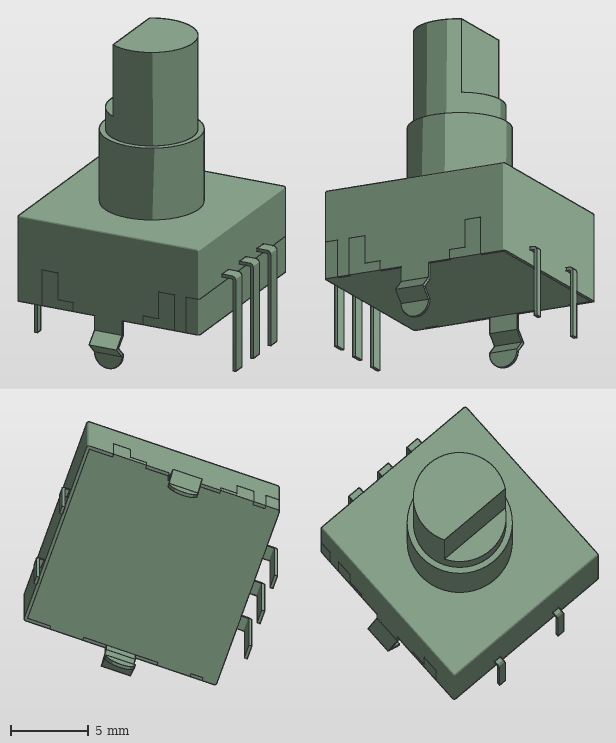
import cadquery as cq
import math

TOTAL_HEIGHT = 21.0
LEAD_DEPTH = 3.5

HOUSING_LENGTH = 13.2
HOUSING_WIDTH = 12.45
HOUSING_HEIGHT = 5.98
EDGE_RADIUS = 0.17
SHEET = 0.2

WINDOW_HEIGHT = 2.5
WINDOW_OUTER = 4.8
WINDOW_STEP = 3.65
WINDOW_INNER = 2.55
FOOT_HEIGHT = 0.63
END_WINDOW_LENGTH = 0.97

LUG_WIDTH = 2.0
LUG_REACH = 0.78
LUG_BEND_TOP = 1.0
LUG_BEND_BOTTOM = LEAD_DEPTH - LUG_WIDTH / 2

BUSHING_DIAMETER = 6.8
BUSHING_HEIGHT = 5.0
SHAFT_DIAMETER = 6.0
FLAT_OFFSET = 1.5
FLAT_HEIGHT = 5.0
SHAFT_TOP = TOTAL_HEIGHT - LEAD_DEPTH

SWITCH_PIN_WIDTH = 0.5
SWITCH_PIN_REACH = 0.5
SWITCH_PIN_TOP = 1.2
SIGNAL_PIN_WIDTH = 0.9
SIGNAL_PIN_REACH = 0.99
SIGNAL_PIN_TOP = 3.1
PIN_PITCH = 2.5
PIN_BEND_RADIUS = 0.3


def block(x_min, x_max, width, height):
    """A box standing on the housing's bottom plane, centred on Y = 0."""
    return (
        cq.Workplane("XY")
        .center((x_min + x_max) / 2, 0)
        .rect(x_max - x_min, width)
        .extrude(height)
    )


def housing_block():
    """The outer shape that cover and base fill together, with rounded top and upright edges."""
    half_length = HOUSING_LENGTH / 2
    outer = block(-half_length, half_length, HOUSING_WIDTH, HOUSING_HEIGHT)
    return outer.edges("|Z or >Z").fillet(EDGE_RADIUS)


def window_zone():
    """The places where the base comes through the cover to its outer surface."""
    half_length = HOUSING_LENGTH / 2
    zone = block(half_length - END_WINDOW_LENGTH, half_length, HOUSING_WIDTH, WINDOW_HEIGHT)
    for side in (-1, 1):
        l_window = (
            cq.Workplane("XZ", origin=(0, HOUSING_WIDTH / 2, 0))
            .moveTo(side * WINDOW_OUTER, 0)
            .lineTo(side * WINDOW_OUTER, WINDOW_HEIGHT)
            .lineTo(side * WINDOW_STEP, WINDOW_HEIGHT)
            .lineTo(side * WINDOW_STEP, FOOT_HEIGHT)
            .lineTo(side * WINDOW_INNER, FOOT_HEIGHT)
            .lineTo(side * WINDOW_INNER, 0)
            .close()
            .extrude(HOUSING_WIDTH)
        )
        zone = zone.union(l_window)
    return zone


def bent_pin(side, y, reach, top, width):
    """A pin that leaves the base toward side (-1 or +1) along X and bends straight down."""
    root_x = side * (HOUSING_LENGTH / 2 - SHEET)
    tip_x = side * (HOUSING_LENGTH / 2 + reach)
    inner_x = tip_x - side * SHEET
    inner_radius = PIN_BEND_RADIUS - SHEET
    bend_x = tip_x - side * PIN_BEND_RADIUS
    bend_z = top - PIN_BEND_RADIUS
    diagonal = math.sqrt(0.5)
    return (
        cq.Workplane("XZ", origin=(0, y + width / 2, 0))
        .moveTo(root_x, top)
        .lineTo(bend_x, top)
        .threePointArc(
            (bend_x + side * PIN_BEND_RADIUS * diagonal, bend_z + PIN_BEND_RADIUS * diagonal),
            (tip_x, bend_z),
        )
        .lineTo(tip_x, -LEAD_DEPTH)
        .lineTo(inner_x, -LEAD_DEPTH)
        .lineTo(inner_x, bend_z)
        .threePointArc(
            (bend_x + side * inner_radius * diagonal, bend_z + inner_radius * diagonal),
            (bend_x, top - SHEET),
        )
        .lineTo(root_x, top - SHEET)
        .close()
        .extrude(width)
    )


def make_base():
    """The base fills the cover, shows in its windows and carries all five pins."""
    inner_half = HOUSING_LENGTH / 2 - SHEET
    base = block(-inner_half, inner_half, HOUSING_WIDTH - 2 * SHEET, HOUSING_HEIGHT - SHEET)
    base = base.union(housing_block().intersect(window_zone()))
    for row in (-1, 1):
        base = base.union(
            bent_pin(-1, row * PIN_PITCH, SWITCH_PIN_REACH, SWITCH_PIN_TOP, SWITCH_PIN_WIDTH)
        )
    for row in (-1, 0, 1):
        base = base.union(
            bent_pin(1, row * PIN_PITCH, SIGNAL_PIN_REACH, SIGNAL_PIN_TOP, SIGNAL_PIN_WIDTH)
        )
    return base


def lug(side):
    """A sheet strip under the side wall (-1 or +1 along Y) with an outward V bend and round end."""
    middle = (LUG_BEND_TOP + LUG_BEND_BOTTOM) / 2
    slope = math.atan2(LUG_REACH, middle - LUG_BEND_TOP)
    bend_shift = SHEET * math.tan(slope / 2)
    wall = HOUSING_WIDTH / 2
    inner_wall = wall - SHEET
    profile = [
        (wall, 0),
        (wall, -LUG_BEND_TOP),
        (wall + LUG_REACH, -middle),
        (wall, -LUG_BEND_BOTTOM),
        (wall, -LEAD_DEPTH),
        (inner_wall, -LEAD_DEPTH),
        (inner_wall, -LUG_BEND_BOTTOM + bend_shift),
        (wall + LUG_REACH - SHEET / math.cos(slope), -middle),
        (inner_wall, -LUG_BEND_TOP - bend_shift),
        (inner_wall, 0),
    ]
    strip = (
        cq.Workplane("YZ")
        .polyline([(side * y, z) for y, z in profile])
        .close()
        .extrude(LUG_WIDTH / 2, both=True)
    )
    outline = (
        cq.Workplane("XZ")
        .moveTo(-LUG_WIDTH / 2, 0)
        .lineTo(-LUG_WIDTH / 2, -LUG_BEND_BOTTOM)
        .threePointArc((0, -LEAD_DEPTH), (LUG_WIDTH / 2, -LUG_BEND_BOTTOM))
        .lineTo(LUG_WIDTH / 2, 0)
        .close()
        .extrude(HOUSING_WIDTH, both=True)
    )
    return strip.intersect(outline)


def make_cover(base):
    """The sheet cover wraps the base, lets its pins through and ends in two lugs."""
    cover = housing_block().cut(base)
    for side in (-1, 1):
        cover = cover.union(lug(side))
    return cover


def make_bushing():
    """A plain sleeve standing on the cover."""
    return (
        cq.Workplane("XY", origin=(0, 0, HOUSING_HEIGHT))
        .circle(BUSHING_DIAMETER / 2)
        .circle(SHAFT_DIAMETER / 2)
        .extrude(BUSHING_HEIGHT)
    )


def make_shaft():
    """A round shaft standing on the cover, with a D-flat toward -X at its upper end."""
    shaft = (
        cq.Workplane("XY", origin=(0, 0, HOUSING_HEIGHT))
        .circle(SHAFT_DIAMETER / 2)
        .extrude(SHAFT_TOP - HOUSING_HEIGHT)
    )
    flat_cut = block(-SHAFT_DIAMETER, -FLAT_OFFSET, SHAFT_DIAMETER, FLAT_HEIGHT)
    return shaft.cut(flat_cut.translate((0, 0, SHAFT_TOP - FLAT_HEIGHT)))


base = make_base()
cover = make_cover(base)
bushing = make_bushing()
shaft = make_shaft()

result = cq.Compound.makeCompound(
    [body.solids().val() for body in (base, cover, bushing, shaft)]
)